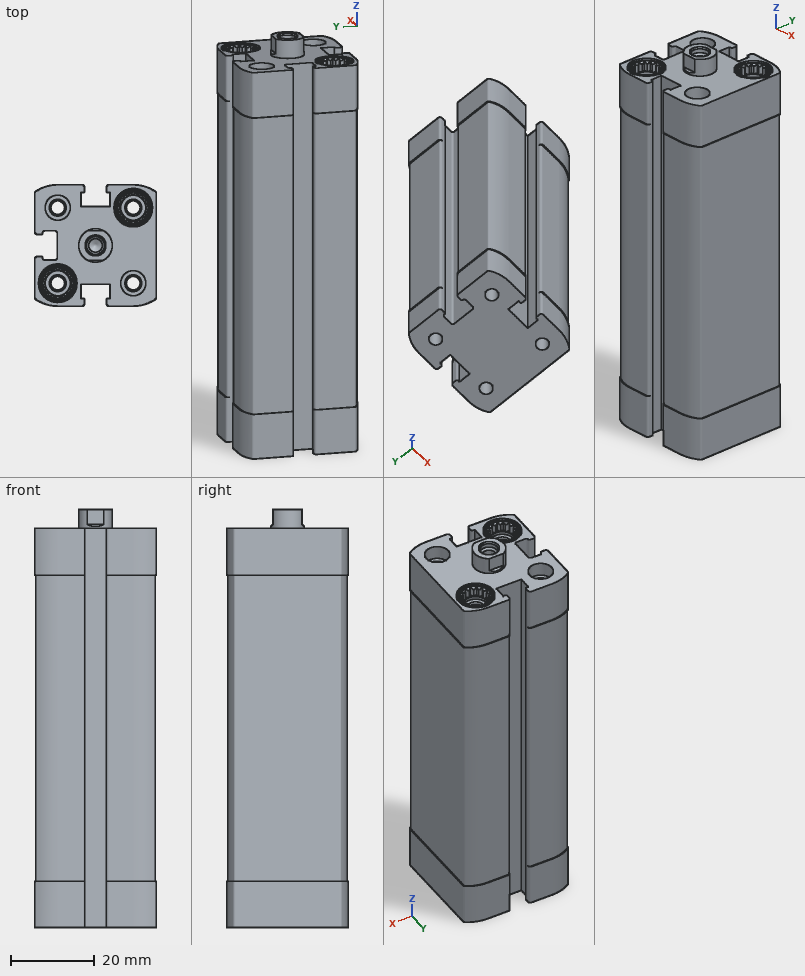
import cadquery as cq
import math

width = 29.0
body_height = 95.2
top_cap_height = 11.2
bottom_cap_height = 11.0
tube_inset = 0.2
half_width = width / 2
corner_arc_start = 9.0
corner_arc_radius = 9.5
corner_edge_radius = 0.65

slot_mouth = 5.2
slot_pocket = 6.9
slot_lip = 1.9
slot_depth = 5.2
slot_mouth_radius = 0.6
slot_lip_radius = 0.3
side_slot_depth = 5.35
side_slot_corner_radius = 0.5

hole_offset = 9.0
through_diameter = 3.24
thread_lead_diameter = 4.0
counterbore_diameter = 6.0
counterbore_depth = 3.6

collar_seat_diameter = 9.2
collar_seat_depth = 0.5
collar_diameter = 8.5
collar_top_diameter = 8.0
collar_sink = 0.2
collar_chamfer = (collar_diameter - collar_top_diameter) / 2
serration_count = 16
serration_root_radius = 3.75
serration_depth = 2.8
serration_lead_in = 0.5

rod_diameter = 8.0
rod_projection = 4.5
rod_insertion = top_cap_height
rod_flats = 7.0
rod_flat_length = 3.6
rod_countersink_diameter = 5.0
rod_relief_diameter = 4.3
rod_relief_depth = 1.4
rod_thread_diameter = 3.24
rod_thread_depth = 10.0
drill_half_angle = math.radians(59)


def outline_prism(inset, height):
    """Square prism with large arcs at the corners, all faces moved in by the inset."""
    side = half_width - inset
    radius = corner_arc_radius - inset
    centre_y = half_width - corner_arc_radius
    end_angle = math.acos((side - corner_arc_start) / radius)
    mid_angle = (end_angle + math.pi / 2) / 2
    end_y = centre_y + radius * math.sin(end_angle)
    mid_x = corner_arc_start + radius * math.cos(mid_angle)
    mid_y = centre_y + radius * math.sin(mid_angle)
    prism = (
        cq.Workplane("XY")
        .moveTo(-corner_arc_start, side)
        .lineTo(corner_arc_start, side)
        .threePointArc((mid_x, mid_y), (side, end_y))
        .lineTo(side, -end_y)
        .threePointArc((mid_x, -mid_y), (corner_arc_start, -side))
        .lineTo(-corner_arc_start, -side)
        .threePointArc((-mid_x, -mid_y), (-side, -end_y))
        .lineTo(-side, end_y)
        .threePointArc((-mid_x, mid_y), (-corner_arc_start, side))
        .close()
        .extrude(height)
    )
    return prism.edges("|Z").edges("<X or >X").fillet(corner_edge_radius - inset)


def slot_cutter(inset, height, depth):
    """Undercut slot in the back (+Y) face, with rounded lips."""
    face = half_width - inset
    lip = half_width - slot_lip
    floor = half_width - depth
    mouth = slot_mouth / 2
    pocket = slot_pocket / 2
    half_slot = (
        cq.Workplane("XY")
        .moveTo(0, face)
        .lineTo(mouth + slot_mouth_radius, face)
        .radiusArc((mouth, face - slot_mouth_radius), -slot_mouth_radius)
        .lineTo(mouth, lip + slot_lip_radius)
        .radiusArc((mouth + slot_lip_radius, lip), -slot_lip_radius)
        .lineTo(pocket, lip)
        .lineTo(pocket, floor)
        .lineTo(0, floor)
        .close()
        .extrude(height)
    )
    return half_slot.union(half_slot.mirror("YZ"))


def side_slot_cutter(inset, height):
    """Slot in the left (-X) face, with rounded pocket corners."""
    slot = slot_cutter(inset, height, side_slot_depth)
    slot = slot.edges("|Z").edges("<X or >X").fillet(side_slot_corner_radius)
    return slot.rotate((0, 0, 0), (0, 0, 1), 90)


def housing_section(inset, bottom, height):
    """One length of the housing, with its three slots."""
    section = outline_prism(inset, height)
    slot = slot_cutter(inset, height, slot_depth)
    section = section.cut(slot).cut(slot.mirror("XZ")).cut(side_slot_cutter(inset, height))
    return section.translate((0, 0, bottom))


def cylinder(diameter, bottom, top):
    return cq.Workplane("XY").workplane(offset=bottom).circle(diameter / 2).extrude(top - bottom)


def cone(bottom_diameter, top_diameter, bottom, top):
    solid = cq.Solid.makeCone(bottom_diameter / 2, top_diameter / 2, top - bottom, cq.Vector(0, 0, bottom))
    return cq.Workplane(obj=solid)


def mounting_hole():
    """Through hole with a countersink at the floor of its counterbore."""
    floor = body_height - counterbore_depth
    lead = (thread_lead_diameter - through_diameter) / 2
    hole = cylinder(through_diameter, 0, body_height)
    hole = hole.union(cylinder(counterbore_diameter, floor, body_height))
    return hole.union(cone(through_diameter, thread_lead_diameter, floor - lead, floor))


def collar_recess():
    """Space left around and inside the collar: ring groove, sunken top and serrated socket."""
    seat = body_height - collar_seat_depth
    collar_top = body_height - collar_sink
    collar = cylinder(collar_diameter, seat, collar_top).faces(">Z").chamfer(collar_chamfer)
    ring = cylinder(collar_seat_diameter, seat, body_height).cut(collar)

    points = []
    for step in range(2 * serration_count):
        radius = serration_root_radius if step % 2 else counterbore_diameter / 2
        angle = math.pi * step / serration_count
        points.append((radius * math.cos(angle), radius * math.sin(angle)))
    serration_bottom = body_height - serration_depth
    socket = (
        cq.Workplane("XY")
        .workplane(offset=serration_bottom)
        .polyline(points)
        .close()
        .extrude(collar_top - serration_bottom)
    )
    lead_top = 2 * serration_root_radius
    lead_bottom = lead_top - 2 * serration_lead_in
    lead_in = cone(lead_bottom, lead_top, collar_top - serration_lead_in, collar_top)
    return ring.union(socket).union(lead_in)


def make_housing():
    tube_top = body_height - top_cap_height
    housing = housing_section(0, 0, bottom_cap_height)
    housing = housing.union(housing_section(tube_inset, bottom_cap_height, tube_top - bottom_cap_height))
    housing = housing.union(housing_section(0, tube_top, top_cap_height))
    for x_side in (-1, 1):
        for y_side in (-1, 1):
            hole = mounting_hole()
            if x_side == y_side:
                hole = hole.union(collar_recess())
            housing = housing.cut(hole.translate((x_side * hole_offset, y_side * hole_offset, 0)))
    return housing.cut(cylinder(rod_diameter, body_height - rod_insertion, body_height))


def make_rod():
    tip = body_height + rod_projection
    rod = cylinder(rod_diameter, body_height - rod_insertion, tip)

    flat_half = rod_flats / 2
    radius = rod_diameter / 2
    flat_end = tip - rod_flat_length
    runout_end = flat_end - (radius - flat_half)
    flat = (
        cq.Workplane("YZ")
        .polyline([(flat_half, tip), (flat_half, flat_end), (radius, runout_end), (radius, tip)])
        .close()
        .extrude(radius, both=True)
    )
    rod = rod.cut(flat).cut(flat.mirror("XZ"))

    relief_end = tip - rod_relief_depth
    countersink = (rod_countersink_diameter - rod_relief_diameter) / 2
    thread_lead = (rod_relief_diameter - rod_thread_diameter) / 2
    thread_end = tip - rod_thread_depth
    point_height = rod_thread_diameter / 2 / math.tan(drill_half_angle)
    rod = rod.cut(cone(rod_relief_diameter, rod_countersink_diameter, tip - countersink, tip))
    rod = rod.cut(cylinder(rod_relief_diameter, relief_end, tip))
    rod = rod.cut(cone(rod_thread_diameter, rod_relief_diameter, relief_end - thread_lead, relief_end))
    rod = rod.cut(cylinder(rod_thread_diameter, thread_end, relief_end))
    return rod.cut(cone(0, rod_thread_diameter, thread_end - point_height, thread_end))


housing = make_housing()
rod = make_rod()
result = cq.Compound.makeCompound([housing.val(), rod.val()])